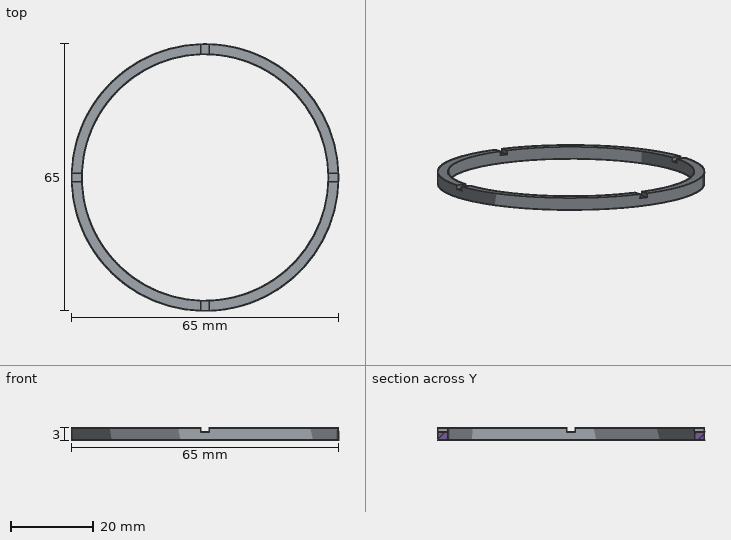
import cadquery as cq

outer_diameter = 65.0
inner_diameter = 60.0
ring_height = 3.0
notch_width = 2.0
notch_depth = 1.0


def make_ring():
    """Plain flat ring standing on the XY plane."""
    return (
        cq.Workplane("XY")
        .circle(outer_diameter / 2)
        .circle(inner_diameter / 2)
        .extrude(ring_height)
    )


def make_notch_bar(angle):
    """Bar across the full diameter that cuts two opposite notches in the top face."""
    return (
        cq.Workplane("XY")
        .workplane(offset=ring_height - notch_depth)
        .rect(outer_diameter, notch_width)
        .extrude(notch_depth)
        .rotate((0, 0, 0), (0, 0, 1), angle)
    )


result = make_ring()
for bar_angle in (0, 90):
    result = result.cut(make_notch_bar(bar_angle))